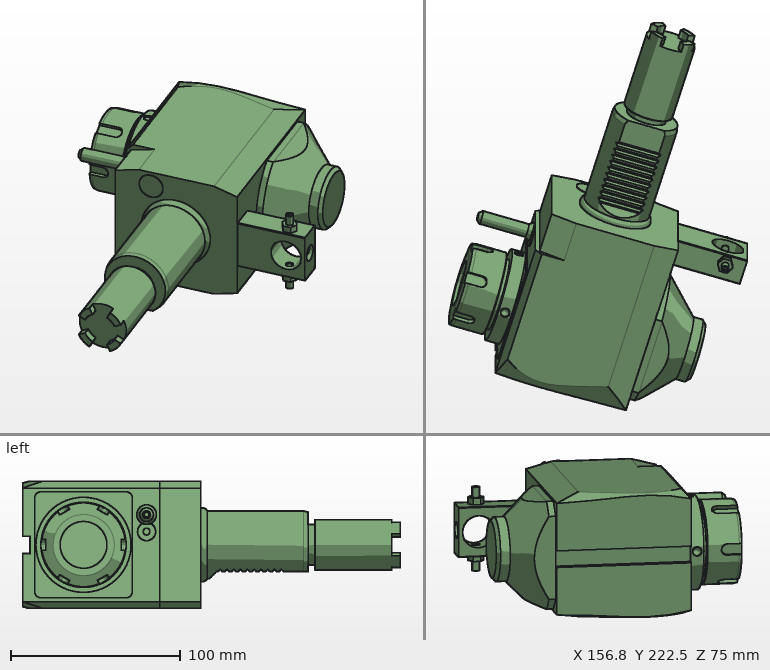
import cadquery as cq
import math


HEX_SIDES = 6

BODY_HEIGHT = 75.0
BODY_DEPTH = 105.0
BODY_SIDE = 39.0
NUT_FACE_X = -41.6
STEP_DEPTH = 24.3
CHAMFER_DROP = 4.0
EDGE_ANGLE = 15
EDGE_SLOPE = math.tan(math.radians(EDGE_ANGLE))
BACK_ARCH = [(-25.4, 36.0), (-15.4, 36.5), (-2.0, 36.0), (13.1, 35.0)]
ROUNDING_LENGTH = 24.5
BACK_NOTCH_WIDTH = 10.0
BACK_NOTCH_DEPTH = 4.2
MARK_DEPTH = 0.2
HALF_HEIGHT = BODY_HEIGHT / 2
CHAMFER_EDGE_Z = HALF_HEIGHT - CHAMFER_DROP
CHAMFER_RUN = CHAMFER_DROP / EDGE_SLOPE

SHANK_RADIUS = 20.0
SHANK_END = 63.2
SHANK_CHAMFER = 0.7
SHANK_CHAMFER_LENGTH = 3.0
COLLAR_RADIUS = 21.8
COLLAR_LENGTH = 3.8
COLLAR_CROWN = (21.5, -2.0)
NECK_RADIUS = 12.0
NECK_END = 67.0
DRIVE_RADIUS = 15.0
DRIVE_CHAMFER = 0.5
DRIVE_END = 112.5
LUG_END = 117.5
LUG_INNER_RADIUS = 10.5
LUG_COUNT = 4
LUG_HALF_ANGLE = 19
FLAT_Z = -15.8
FLAT_START = 9.1
TOOTH_PITCH = 4.0
TOOTH_DEPTH = 1.3
TOOTH_GAP_COUNT = 10
FIRST_GAP = 11.4

SPINDLE_Y = 69.2
PLATE_LENGTH = 57.6
PLATE_HEIGHT = 62.5
PLATE_THICKNESS = 1.0
PLATE_CORNER = 3.8
FLANGE_RADIUS = 28.0
FLANGE_X = -50.5
FLANGE_HOLE_RADIUS = 2.7
FLANGE_HOLE_DEPTH = 1.1
FLANGE_CONE_DEPTH = 2.7
FLANGE_HOLE_COUNT = 4
GROOVE_RADIUS = 21.5
NUT_BACK_X = -53.0
NUT_RIM_X = -73.9
NUT_FRONT_X = -74.8
NUT_RADIUS = 25.1
NUT_EDGE = 0.5
NUT_RIM_LENGTH = 1.8
NUT_FACE_RADIUS = 18.0
NUT_BORE_RADIUS = 13.8
NUT_BORE_DEPTH = 2.2
NUT_SLOT_COUNT = 6
NUT_SLOT_WIDTH = 6.7
NUT_SLOT_FLOOR = 22.3
LONG_SLOT_END_X = -58.0
SHORT_SLOT_END_X = -61.6
LONG_SLOT_ANGLES = (60, 120)
PIN_Y = 32.0
PIN_Z = 17.8
PIN_RADIUS = 4.0
PIN_TIP_RADIUS = 2.2
PIN_TIP_LENGTH = 2.2
PIN_BASE_RADIUS = 5.8
PIN_BASE_LENGTH = 2.7
PIN_SOCKET_SIZE = 3.1
PLUG_Z = 7.8
PLUG_RADIUS = 5.3
PLUG_SOCKET_RADIUS = 2.0
PLUG_SOCKET_DEPTH = 1.1
FRONT_PLUG = (-16.0, 27.8)
FRONT_PLUG_RADIUS = 7.5

COVER_RADIUS = 40.0
COVER_RIM_LENGTH = 4.0
COVER_TOP_Y = 100.5
NOSE_RADIUS = 19.1
NOSE_END = 71.9
NOSE_CHAMFER = 2.2

ARM_END = 82.0
ARM_FRONT = 0.7
ARM_THICKNESS = 15.5
ARM_HEIGHT = 30.0
ARM_CHAMFER = 0.5
ARM_BORE_X = 69.9
ARM_BORE_RADIUS = 9.5
OUTLET_RADIUS = 5.0
SCREW_Y = 6.2
SCREW_RADIUS = 2.2
SCREW_TOP = 25.1
SCREW_RECESS = 1.0
SOCKET_SIZE = 2.7
SOCKET_DEPTH = 2.2
NUT_CORNERS = 9.3
HEX_NUT_HEIGHT = 4.0


def cylinder(start, direction, radius, length):
    """A solid cylinder from a start point along a direction."""
    return cq.Workplane(cq.Solid.makeCylinder(radius, length, cq.Vector(*start), cq.Vector(*direction)))


def spindle_revolve(profile):
    """Turn (X, radius) points around the spindle axis."""
    return (
        cq.Workplane("XY", origin=(0, SPINDLE_Y, 0))
        .polyline(profile)
        .close()
        .revolve(360, (0, 0, 0), (1, 0, 0))
    )


def prism_along_y(points, front, back):
    """Extrude an (X, Z) outline from Y = front to Y = back."""
    return cq.Workplane("XZ", origin=(0, front, 0)).polyline(points).close().extrude(front - back)


def body_block(left, left_run, front, back):
    """Block whose right edges carry the long chamfer and whose left edges are cut by left_run."""
    top = [
        (left, CHAMFER_EDGE_Z),
        (left + left_run, HALF_HEIGHT),
        (BODY_SIDE - CHAMFER_RUN, HALF_HEIGHT),
        (BODY_SIDE, CHAMFER_EDGE_Z),
    ]
    bottom = [(x, -z) for x, z in reversed(top)]
    return prism_along_y(top + bottom, front, back)


def back_rounding():
    """Material above the arched, 15 degree slope that runs down to the back face."""
    overrun = 2.2
    cutter_top = HALF_HEIGHT + overrun
    arch = BACK_ARCH + [(BODY_SIDE, CHAMFER_EDGE_Z)]
    outline = (
        cq.Workplane("XZ", origin=(0, BODY_DEPTH, 0))
        .moveTo(NUT_FACE_X, CHAMFER_EDGE_Z)
        .spline(arch, includeCurrent=True)
        .lineTo(BODY_SIDE + overrun, CHAMFER_EDGE_Z)
        .lineTo(BODY_SIDE + overrun, cutter_top)
        .lineTo(NUT_FACE_X - overrun, cutter_top)
        .lineTo(NUT_FACE_X - overrun, CHAMFER_EDGE_Z)
        .close()
        .val()
    )
    slope = cq.Vector(0, -ROUNDING_LENGTH, ROUNDING_LENGTH * EDGE_SLOPE)
    return cq.Workplane(cq.Solid.extrudeLinear(outline, [], slope))


def make_body():
    front = body_block(-BODY_SIDE, CHAMFER_RUN, 0, STEP_DEPTH)
    main = body_block(NUT_FACE_X, CHAMFER_DROP, STEP_DEPTH, BODY_DEPTH)
    rounding = back_rounding()
    main = main.cut(rounding).cut(rounding.mirror("XY"))
    notch = cq.Workplane("XY").box(4 * BODY_SIDE, 2 * BACK_NOTCH_DEPTH, BACK_NOTCH_WIDTH)
    main = main.cut(notch.translate((0, BODY_DEPTH, 0)))
    x, z = FRONT_PLUG
    return front.union(main).cut(cylinder((x, 0, z), (0, 1, 0), FRONT_PLUG_RADIUS, MARK_DEPTH))


def make_shank():
    profile = [
        (SHANK_RADIUS, SHANK_CHAMFER_LENGTH - SHANK_END),
        (SHANK_RADIUS - SHANK_CHAMFER, -SHANK_END),
        (NECK_RADIUS, -SHANK_END),
        (NECK_RADIUS, -NECK_END),
        (DRIVE_RADIUS - DRIVE_CHAMFER, -NECK_END),
        (DRIVE_RADIUS, -NECK_END - DRIVE_CHAMFER),
        (DRIVE_RADIUS, -LUG_END),
        (0, -LUG_END),
    ]
    shank = (
        cq.Workplane("XY")
        .lineTo(COLLAR_RADIUS, 0)
        .threePointArc(COLLAR_CROWN, (SHANK_RADIUS, -COLLAR_LENGTH))
        .polyline(profile, includeCurrent=True)
        .close()
        .revolve(360, (0, 0, 0), (0, 1, 0))
    )
    return shank.cut(shank_flat()).cut(lug_gaps())


def shank_flat():
    """Toothed flat on the underside, with a 45 degree run-out towards the collar."""
    bottom = -COLLAR_RADIUS
    outline = cq.Workplane("YZ", origin=(-COLLAR_RADIUS, 0, 0)).moveTo(FLAT_Z - bottom - FLAT_START, bottom)
    outline = outline.lineTo(-FLAT_START, FLAT_Z)
    for index in range(TOOTH_GAP_COUNT):
        gap_y = -FIRST_GAP - index * TOOTH_PITCH
        outline = outline.lineTo(gap_y + TOOTH_DEPTH, FLAT_Z)
        outline = outline.lineTo(gap_y, FLAT_Z + TOOTH_DEPTH)
        outline = outline.lineTo(gap_y - TOOTH_DEPTH, FLAT_Z)
    outline = outline.lineTo(-SHANK_END, FLAT_Z).lineTo(-SHANK_END, bottom).close()
    return outline.extrude(2 * COLLAR_RADIUS)


def lug_gaps():
    """Space around the driving lugs at the end of the shank."""
    length = LUG_END - DRIVE_END
    reach = 2 * DRIVE_RADIUS
    half_width = reach * math.tan(math.radians(LUG_HALF_ANGLE))
    gaps = cylinder((0, -DRIVE_END, 0), (0, -1, 0), reach, length)
    core = cylinder((0, -DRIVE_END, 0), (0, -1, 0), LUG_INNER_RADIUS, length)
    sector_points = [(0, 0), (reach, half_width), (reach, -half_width)]
    for index in range(LUG_COUNT):
        angle = (index + 0.5) * 360 / LUG_COUNT
        sector = prism_along_y(sector_points, -LUG_END, -DRIVE_END)
        sector = sector.rotate((0, 0, 0), (0, 1, 0), angle).cut(core)
        gaps = gaps.cut(sector)
    return gaps


def make_spindle():
    plate = (
        cq.Workplane("XY")
        .box(PLATE_THICKNESS, PLATE_LENGTH, PLATE_HEIGHT)
        .edges("|X")
        .fillet(PLATE_CORNER)
        .translate((NUT_FACE_X - PLATE_THICKNESS / 2, SPINDLE_Y, 0))
    )
    turned = spindle_revolve(
        [
            (NUT_FACE_X, 0),
            (NUT_FACE_X, FLANGE_RADIUS),
            (FLANGE_X, FLANGE_RADIUS),
            (FLANGE_X, GROOVE_RADIUS),
            (NUT_BACK_X, GROOVE_RADIUS),
            (NUT_BACK_X, NUT_RADIUS - NUT_EDGE),
            (NUT_BACK_X - NUT_EDGE, NUT_RADIUS),
            (NUT_RIM_X + NUT_RIM_LENGTH, NUT_RADIUS),
            (NUT_RIM_X, NUT_RADIUS - NUT_EDGE),
            (NUT_FRONT_X, NUT_FACE_RADIUS),
            (NUT_FRONT_X, NUT_BORE_RADIUS),
            (NUT_FRONT_X + NUT_BORE_DEPTH, NUT_BORE_RADIUS),
            (NUT_FRONT_X + NUT_BORE_DEPTH, 0),
        ]
    )
    axis_start = (0, SPINDLE_Y, 0)
    axis_end = (1, SPINDLE_Y, 0)
    hole = flange_hole()
    for index in range(FLANGE_HOLE_COUNT):
        turned = turned.cut(hole.rotate(axis_start, axis_end, index * 360 / FLANGE_HOLE_COUNT))
    for index in range(NUT_SLOT_COUNT):
        angle = index * 360 / NUT_SLOT_COUNT
        end_x = LONG_SLOT_END_X if angle in LONG_SLOT_ANGLES else SHORT_SLOT_END_X
        turned = turned.cut(nut_slot(end_x).rotate(axis_start, axis_end, angle))
    return plate.union(turned)


def flange_hole():
    """Radial hole with a conical bottom, on the upper side of the flange."""
    middle_x = (FLANGE_X + NUT_FACE_X - PLATE_THICKNESS) / 2
    base_z = FLANGE_RADIUS - FLANGE_HOLE_DEPTH
    profile = [
        (0, base_z - FLANGE_CONE_DEPTH),
        (FLANGE_HOLE_RADIUS, base_z),
        (FLANGE_HOLE_RADIUS, FLANGE_RADIUS + FLANGE_HOLE_DEPTH),
        (0, FLANGE_RADIUS + FLANGE_HOLE_DEPTH),
    ]
    outline = cq.Workplane("XZ", origin=(middle_x, SPINDLE_Y, 0)).polyline(profile).close()
    return outline.revolve(360, (0, 0, 0), (0, 1, 0))


def nut_slot(end_x):
    """Round-ended wrench slot, open to the front of the nut, on its +Y side."""
    half = NUT_SLOT_WIDTH / 2
    arc_x = end_x - half
    return (
        cq.Workplane("XZ", origin=(0, SPINDLE_Y + NUT_SLOT_FLOOR, 0))
        .moveTo(NUT_FRONT_X, -half)
        .lineTo(arc_x, -half)
        .threePointArc((end_x, 0), (arc_x, half))
        .lineTo(NUT_FRONT_X, half)
        .close()
        .extrude(-NUT_RADIUS)
    )


def make_pin():
    profile = [
        (NUT_FACE_X, 0),
        (NUT_FACE_X, PIN_BASE_RADIUS),
        (NUT_FACE_X - PIN_BASE_LENGTH, PIN_RADIUS),
        (NUT_FRONT_X + PIN_TIP_LENGTH, PIN_RADIUS),
        (NUT_FRONT_X, PIN_TIP_RADIUS),
        (NUT_FRONT_X, 0),
    ]
    pin = (
        cq.Workplane("XY", origin=(0, PIN_Y, PIN_Z))
        .polyline(profile)
        .close()
        .revolve(360, (0, 0, 0), (1, 0, 0))
    )
    socket = cq.Workplane("YZ", origin=(NUT_FRONT_X, PIN_Y, PIN_Z)).polygon(HEX_SIDES, PIN_SOCKET_SIZE)
    return pin.cut(socket.extrude(SOCKET_DEPTH))


def plug_recess():
    """Flush plug below the pin, with a small round socket."""
    start = (NUT_FACE_X, PIN_Y, PLUG_Z)
    rim = cylinder(start, (1, 0, 0), PLUG_RADIUS, MARK_DEPTH)
    return rim.union(cylinder(start, (1, 0, 0), PLUG_SOCKET_RADIUS, PLUG_SOCKET_DEPTH))


def make_cover():
    """Conical rear cover, trimmed in line with the body's long chamfers and flat on its +Y side."""
    cone_start = BODY_SIDE + COVER_RIM_LENGTH
    cover = spindle_revolve(
        [
            (BODY_SIDE, 0),
            (BODY_SIDE, COVER_RADIUS),
            (cone_start, COVER_RADIUS),
            (cone_start + COVER_RADIUS - NOSE_RADIUS, NOSE_RADIUS),
            (NOSE_END - NOSE_CHAMFER, NOSE_RADIUS),
            (NOSE_END, NOSE_RADIUS - NOSE_CHAMFER),
            (NOSE_END, 0),
        ]
    )
    rim_z = CHAMFER_EDGE_Z - COVER_RIM_LENGTH * EDGE_SLOPE
    end_z = CHAMFER_EDGE_Z - (NOSE_END - BODY_SIDE) * EDGE_SLOPE
    trim_top = [(BODY_SIDE, rim_z), (cone_start, rim_z), (NOSE_END, end_z)]
    trim_points = trim_top + [(x, -z) for x, z in reversed(trim_top)]
    return cover.intersect(prism_along_y(trim_points, 0, COVER_TOP_Y))


def make_arm():
    arm = (
        cq.Workplane("XY")
        .box(ARM_END - BODY_SIDE, ARM_THICKNESS, ARM_HEIGHT, centered=(False, False, True))
        .edges("|X")
        .chamfer(ARM_CHAMFER)
        .translate((BODY_SIDE, ARM_FRONT, 0))
    )
    arm = arm.cut(cylinder((ARM_BORE_X, ARM_FRONT, 0), (0, 1, 0), ARM_BORE_RADIUS, ARM_THICKNESS))
    outlet_start = (ARM_BORE_X, ARM_FRONT + ARM_THICKNESS / 2, 0)
    arm = arm.cut(cylinder(outlet_start, (1, 0, 0), OUTLET_RADIUS, ARM_END - ARM_BORE_X))
    arm = arm.cut(cylinder((ARM_BORE_X, SCREW_Y, -ARM_HEIGHT / 2), (0, 0, 1), SCREW_RADIUS, ARM_HEIGHT))
    screw = make_screw()
    return arm.union(screw).union(screw.mirror("XY"))


def make_screw():
    """Upper set screw with its hexagon lock nut."""
    tip_z = ARM_BORE_RADIUS + SCREW_RECESS
    screw = cylinder((ARM_BORE_X, SCREW_Y, tip_z), (0, 0, 1), SCREW_RADIUS, SCREW_TOP - tip_z)
    nut = cq.Workplane("XY", origin=(ARM_BORE_X, SCREW_Y, ARM_HEIGHT / 2)).polygon(HEX_SIDES, NUT_CORNERS)
    socket = cq.Workplane("XY", origin=(ARM_BORE_X, SCREW_Y, SCREW_TOP)).polygon(HEX_SIDES, SOCKET_SIZE)
    return screw.union(nut.extrude(HEX_NUT_HEIGHT)).cut(socket.extrude(-SOCKET_DEPTH))


result = (
    make_body()
    .cut(plug_recess())
    .union(make_shank())
    .union(make_spindle())
    .union(make_pin())
    .union(make_cover())
    .union(make_arm())
)